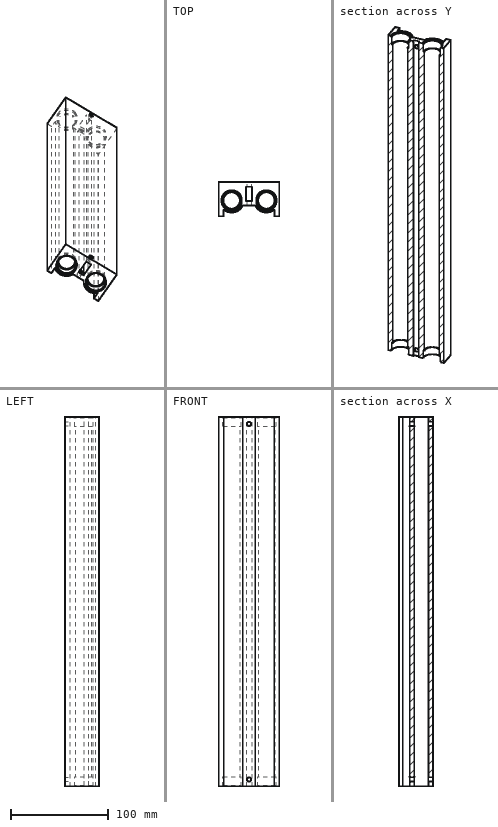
import cadquery as cq
import math

width = 62.5
depth = 35.0
length = 378.0

leg_thickness = 5.3
web_front = 11.0
lobe_radius = 12.5

bore_spacing = 35.5
bore_y = 16.3
bore_radius = 8.5
port_radius = 9.5
port_depth = 10.0
port_chamfer = 1.0

slot_width = 6.0
slot_front = 16.0
slot_back = 30.2

hole_diameter = 4.0
hole_end_distance = 7.0

bore_x = bore_spacing / 2
inner_x = width / 2 - leg_thickness


def lobe_y(x):
    """Front side of the right lobe at a given x."""
    return bore_y - math.sqrt(lobe_radius**2 - (x - bore_x) ** 2)


def make_body():
    """Extruded section with two legs, two lobes and a flat web; leg tips lie on y = 0."""
    half_width = width / 2
    web_x = bore_x - math.sqrt(lobe_radius**2 - (bore_y - web_front) ** 2)
    lobe_tip = (bore_x, bore_y - lobe_radius)
    half = (
        cq.Workplane("XY")
        .moveTo(0, depth)
        .lineTo(half_width, depth)
        .lineTo(half_width, 0)
        .lineTo(inner_x, 0)
        .lineTo(inner_x, lobe_y(inner_x))
        .threePointArc(lobe_tip, (web_x, web_front))
        .lineTo(0, web_front)
        .close()
        .extrude(length)
    )
    return half.union(half.mirror("YZ"))


def cut_bores(body):
    """Two through bores, each widened at both ends to a port with a chamfered mouth."""
    mouth_radius = port_radius + port_chamfer
    chamfer_floor = length - port_chamfer
    port_floor = length - port_depth
    half_bore = (
        cq.Workplane("XZ")
        .moveTo(0, length / 2)
        .lineTo(bore_radius, length / 2)
        .lineTo(bore_radius, port_floor)
        .lineTo(port_radius, port_floor)
        .lineTo(port_radius, chamfer_floor)
        .lineTo(mouth_radius, length)
        .lineTo(0, length)
        .close()
        .revolve(360, (0, 0, 0), (0, 1, 0))
    )
    bore = half_bore.union(half_bore.mirror("XY", (0, 0, length / 2)))
    for x in (-bore_x, bore_x):
        body = body.cut(bore.translate((x, bore_y, 0)))
    return body


def cut_slot(body):
    """Rectangular channel along the full length, midway between the bores."""
    slot = (
        cq.Workplane("XY")
        .center(0, (slot_front + slot_back) / 2)
        .rect(slot_width, slot_back - slot_front)
        .extrude(length)
    )
    return body.cut(slot)


def cut_cross_holes(body):
    """One hole near each end, running front to back through the web."""
    holes = (
        cq.Workplane("XZ")
        .pushPoints([(0, hole_end_distance), (0, length - hole_end_distance)])
        .circle(hole_diameter / 2)
        .extrude(-depth)
    )
    return body.cut(holes)


result = cut_cross_holes(cut_slot(cut_bores(make_body())))